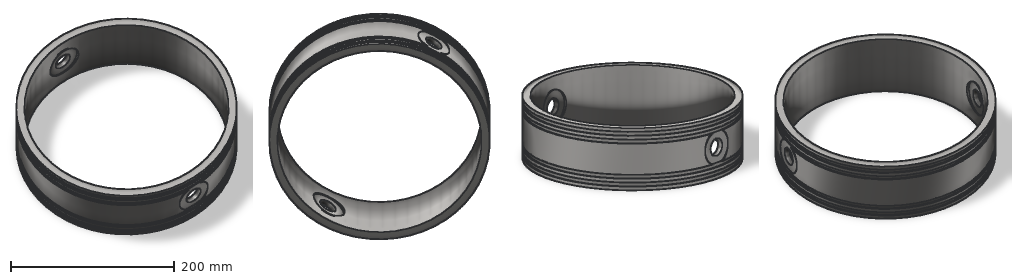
import cadquery as cq

outer_diameter = 270.0
bore_diameter = 250.0
height = 80.0

groove_floor_diameter = 266.0
groove_width = 5.0
land_width = 4.9
groove_pitch = land_width + groove_width
first_groove_offset = land_width + groove_width / 2
groove_offsets = (first_groove_offset, first_groove_offset + groove_pitch)

hole_diameter = 22.0
seat_diameter = 44.0
outer_seat_x = groove_floor_diameter / 2
inner_seat_depth = 1.0
inner_seat_x = bore_diameter / 2 + inner_seat_depth


def x_cylinder(diameter, x_start, x_end):
    """Cylinder along X, centred on Y = Z = 0."""
    return (
        cq.Workplane("YZ")
        .workplane(offset=x_start)
        .circle(diameter / 2)
        .extrude(x_end - x_start)
    )


def groove_cutter(z_center):
    """Annulus that cuts one groove into the outer wall."""
    return (
        cq.Workplane("XY")
        .workplane(offset=z_center - groove_width / 2)
        .circle(outer_diameter / 2 + groove_width)
        .circle(groove_floor_diameter / 2)
        .extrude(groove_width)
    )


result = (
    cq.Workplane("XY")
    .workplane(offset=-height / 2)
    .circle(outer_diameter / 2)
    .circle(bore_diameter / 2)
    .extrude(height)
)

for end in (-1, 1):
    for offset in groove_offsets:
        result = result.cut(groove_cutter(end * (height / 2 - offset)))

result = result.cut(x_cylinder(seat_diameter, outer_seat_x, outer_diameter))
result = result.cut(x_cylinder(seat_diameter, -outer_diameter, -outer_seat_x))
result = result.cut(x_cylinder(seat_diameter, -inner_seat_x, inner_seat_x))

result = result.cut(x_cylinder(hole_diameter, -outer_diameter, outer_diameter))